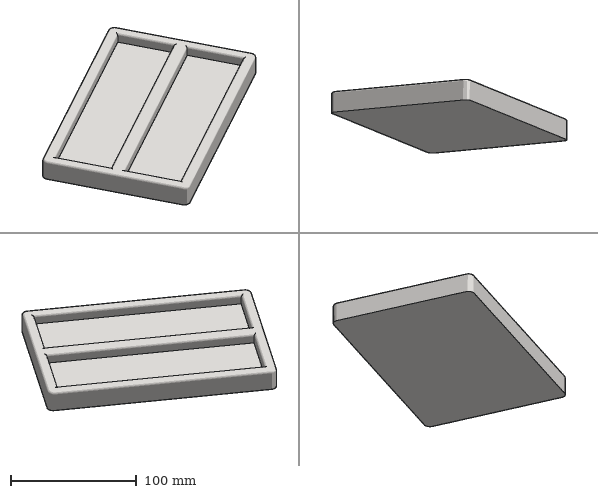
import cadquery as cq

width = 122.3
length = 185.0
height = 17.0
corner_radius = 5.0
edge_radius = 2.0

rim_margin = 7.0
rib_width = 7.2
pocket_depth = 8.0

opening_width = (width - 2 * rim_margin - rib_width) / 2
opening_length = length - 2 * rim_margin
pocket_offset = (opening_width + rib_width) / 2


def make_body():
    """Block with rounded vertical corners and a rounded top outer edge."""
    body = cq.Workplane("XY").box(width, length, height, centered=(True, True, False))
    body = body.edges("|Z").fillet(corner_radius)
    return body.faces(">Z").edges().fillet(edge_radius)


def cut_pockets(body):
    """Sharp-cornered pockets, one on each side of the central rib."""
    pocket_width = opening_width - 2 * edge_radius
    pocket_length = opening_length - 2 * edge_radius
    return (
        body.faces(">Z")
        .workplane(origin=(0, 0, height))
        .pushPoints([(side * pocket_offset, 0) for side in (-1, 1)])
        .rect(pocket_width, pocket_length)
        .cutBlind(-pocket_depth)
    )


def round_pocket_rims(tray):
    """Round the top edges of both pockets."""
    rims = tray.faces(">Z").val().innerWires()
    rim_edges = [edge for rim in rims for edge in rim.Edges()]
    return tray.newObject([tray.findSolid().fillet(edge_radius, rim_edges)])


result = round_pocket_rims(cut_pockets(make_body()))